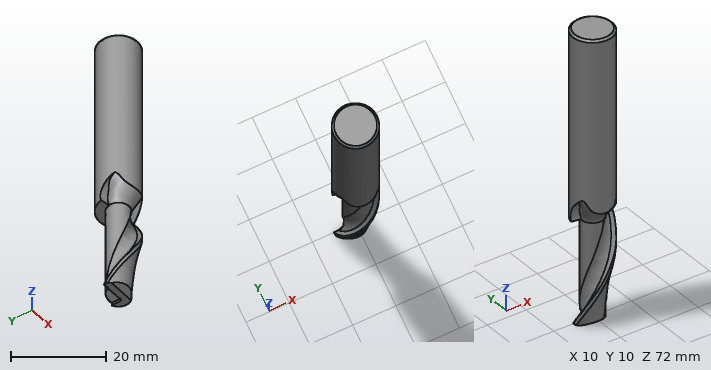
import cadquery as cq
import math

tool_length = 72.0
tool_radius = 5.005
cutter_length = 25.0
shank_chamfer = 0.5

core_radius = 2.77
edge_angle = 180.0
cutter_twist = 178.0
land_angle = 11.0
rake_depth = 1.1
rake_end_angle = -59.0
hollow_angle = -22.0
hollow_radius = 2.6
relief_points = [(45.0, 3.9), (90.0, 3.1)]
relief_end_angle = 114.0

end_relief_start = 1.6
end_relief_rise = 0.7
end_relief_outer = 3.25
gash_height = 1.7
gash_wall_height = 0.7
gash_wall_x = 1.0

runout_openings = [
    (0.0, 172.0, edge_angle + cutter_twist),
    (1.95, 169.0, 341.0),
    (4.1, 180.0, 318.0),
    (7.2, 217.0, 290.0),
]
runout_floor = [
    (0.0, core_radius, 0.0),
    (1.3, 2.95, 0.3),
    (2.45, 3.3, 0.9),
    (3.6, 3.6, 1.5),
    (5.4, 4.2, 1.4),
    (7.2, 4.75, 0.7),
]
reach = 2 * tool_radius


def polar(radius, angle):
    """Point at a radius and an angle in degrees."""
    return (radius * math.cos(math.radians(angle)), radius * math.sin(math.radians(angle)))


def make_cutter():
    """Single-flute helical cutter with end relief and a gash at the tip."""
    def at(radius, angle):
        return polar(radius, edge_angle + angle)

    relief = [at(radius, angle) for angle, radius in relief_points]
    opposite_angle = (relief_end_angle + 360 + rake_end_angle) / 2
    cutter = (
        cq.Workplane("XY")
        .moveTo(*at(tool_radius, 0))
        .threePointArc(at(tool_radius, land_angle / 2), at(tool_radius, land_angle))
        .spline(relief + [at(core_radius, relief_end_angle)], includeCurrent=True)
        .threePointArc(at(core_radius, opposite_angle), at(core_radius, rake_end_angle))
        .threePointArc(at(hollow_radius, hollow_angle), at(tool_radius - rake_depth, 0))
        .close()
        .twistExtrude(cutter_length, cutter_twist)
    )
    slope = end_relief_rise / (end_relief_outer - end_relief_start)
    relief_run = reach - end_relief_start
    end_relief = (
        cq.Workplane("YZ")
        .polyline([(-end_relief_start, 0), (-reach, slope * relief_run), (-reach, 0)])
        .close()
        .extrude(reach, both=True)
    )
    gash = (
        cq.Workplane("XZ")
        .polyline([
            (-reach, 0),
            (-reach, gash_height),
            (-core_radius, gash_height),
            (gash_wall_x, gash_wall_height),
            (gash_wall_x, 0),
        ])
        .close()
        .extrude(-reach)
    )
    return cutter.cut(end_relief).cut(gash)


def make_runout():
    """Space left by the flute as it fades out of the shank."""
    def opening(height, start_angle, end_angle):
        middle_angle = (start_angle + end_angle) / 2
        corners = [
            (0, 0),
            polar(reach, start_angle),
            polar(2 * reach, middle_angle),
            polar(reach, end_angle),
        ]
        z = cutter_length + height
        return cq.Wire.makePolygon([cq.Vector(x, y, z) for x, y in corners], close=True)

    def floor_ring(height, radius, shift):
        center = cq.Vector(0, -shift, cutter_length + height)
        return cq.Wire.makeCircle(radius, center, cq.Vector(0, 0, 1))

    space = cq.Solid.makeLoft([opening(*values) for values in runout_openings])
    floor = cq.Solid.makeLoft([floor_ring(*values) for values in runout_floor])
    return space.cut(floor)


def make_shank():
    """Round shank, chamfered at the top and relieved by the flute run-out."""
    shank = (
        cq.Workplane("XY")
        .workplane(offset=cutter_length)
        .circle(tool_radius)
        .extrude(tool_length - cutter_length)
        .faces(">Z")
        .chamfer(shank_chamfer)
    )
    return shank.cut(cq.Workplane(make_runout()))


cutter = make_cutter()
shank = make_shank()
result = cq.Compound.makeCompound([cutter.val(), shank.val()])